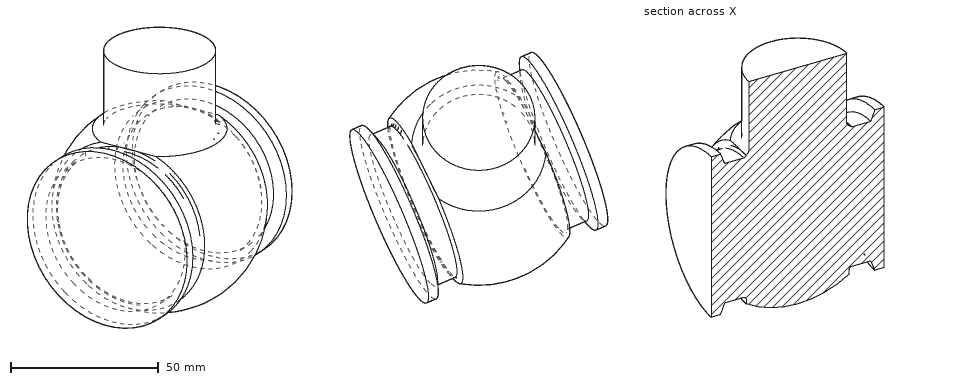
import cadquery as cq
import math

total_height = 94.0
body_diameter = 73.0
flange_span = 66.8

body_radius = body_diameter / 2
side_flat = 19.9
top_flat = 28.5

neck_radius = 27.8
neck_fillet = 0.9
flange_radius = 32.0
rim_thickness = 3.7
flange_thickness = 5.3
flange_face = flange_span / 2

outlet_radius = 19.0
outlet_fillet = 1.5
outlet_end = total_height - body_radius

quarter_arc = math.sqrt(0.5)


def port_profile(plane, radius, fillet, base):
    """Start a half outline (radius, axial) with a concave fillet at the base."""
    arc_offset = fillet * (1 - quarter_arc)
    return (
        cq.Workplane(plane)
        .lineTo(0, base)
        .lineTo(radius + fillet, base)
        .threePointArc((radius + arc_offset, base + arc_offset), (radius, base + fillet))
    )


def make_body():
    flats = cq.Workplane("XY").box(
        body_diameter, 2 * side_flat, body_radius + top_flat
    ).translate((0, 0, (top_flat - body_radius) / 2))
    return cq.Workplane("XY").sphere(body_radius).intersect(flats)


def make_flanged_port():
    port = (
        port_profile("XY", neck_radius, neck_fillet, side_flat)
        .lineTo(neck_radius, flange_face - flange_thickness)
        .lineTo(flange_radius, flange_face - rim_thickness)
        .lineTo(flange_radius, flange_face)
        .lineTo(0, flange_face)
        .close()
        .revolve(360, (0, 0, 0), (0, 1, 0))
    )
    fillet_overhang = cq.Workplane("XY").box(
        body_diameter, neck_fillet, body_radius, centered=(True, False, False)
    ).translate((0, side_flat, top_flat))
    return port.cut(fillet_overhang)


def make_outlet():
    outlet = (
        port_profile("XZ", outlet_radius, outlet_fillet, top_flat)
        .lineTo(outlet_radius, outlet_end)
        .lineTo(0, outlet_end)
        .close()
        .revolve(360, (0, 0, 0), (0, 1, 0))
    )
    side_limits = cq.Workplane("XY").box(
        body_diameter, 2 * side_flat, outlet_end, centered=(True, True, False)
    )
    return outlet.intersect(side_limits)


port = make_flanged_port()
result = (
    make_body()
    .union(port)
    .union(port.mirror("XZ"))
    .union(make_outlet())
)